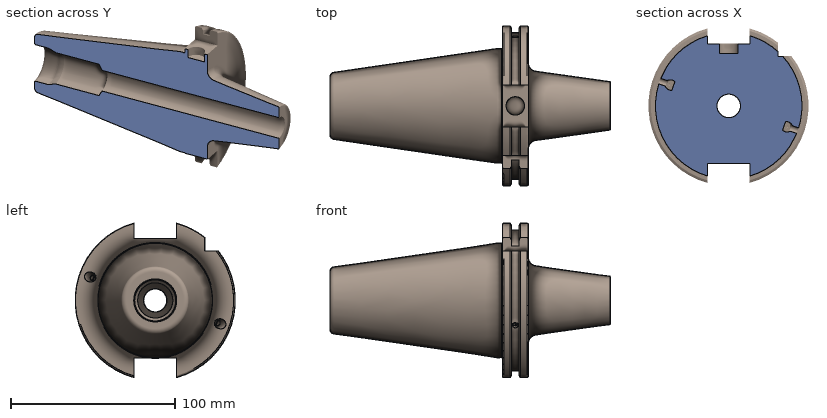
import cadquery as cq
import math


taper_length = 101.75
gauge_dia = 69.85
taper_ratio = 7 / 24
gauge_land = 1.6
tail_fillet = 3.0
relief_depth = 0.2
relief_fillet = 0.5

flange_start = 3.2
flange_thickness = 15.9
flange_dia = 97.5
rim_fillet = 1.0
groove_x = 11.1
groove_floor_dia = 89.5
groove_floor_width = 4.5
groove_lip_width = 0.85
groove_lip_angle = 30.0

slot_width = 25.7
upper_slot_floor = 37.7
lower_slot_floor = 35.1
notch_wall = 30.2

nose_length = 50.0
nose_tip_dia = 29.4
nose_half_angle = 8.0
nose_tip_chamfer = 0.5
nose_root_fillet = 5.0

bore_dia = 14.0
mouth_dia = 26.2
mouth_chamfer_length = 1.2
socket_dia = 25.0
socket_depth = 9.4
step_dia = 24.8
step_depth = 10.3
thread_core_dia = 21.4
thread_start_depth = 15.0
thread_end_depth = 45.0
drill_half_angle = 59.0

chip_hole_dia = 11.2
chip_hole_depth = 5.5

coolant_hole_dia = 6.0
coolant_hole_depth = 10.0
coolant_hole_radius = 42.1
coolant_hole_tilt = 30.0
coolant_hole_angles = (19.8, 199.8)
screw_hole_dia = 3.3
screw_hole_floor = 38.0

flange_radius = flange_dia / 2
flange_end = flange_start + flange_thickness
tail_x = -taper_length
tip_x = flange_end + nose_length


def taper_radius(x):
    return (gauge_dia + x * taper_ratio) / 2


def revolve_about_x(profile):
    return profile.close().revolve(360, (0, 0, 0), (1, 0, 0))


def corner_arc(before, corner, after, radius):
    """Start, middle and end of an arc that rounds the corner of an outline."""
    corner_point = cq.Vector(*corner)
    to_before = (cq.Vector(*before) - corner_point).normalized()
    to_after = (cq.Vector(*after) - corner_point).normalized()
    half_angle = to_before.getAngle(to_after) / 2
    bisector = (to_before + to_after).normalized()
    tangent_length = radius / math.tan(half_angle)
    middle_distance = radius / math.sin(half_angle) - radius
    return (
        corner_point + to_before * tangent_length,
        corner_point + bisector * middle_distance,
        corner_point + to_after * tangent_length,
    )


def add_arc(profile, arc):
    start, middle, end = arc
    return profile.lineTo(start.x, start.y).threePointArc((middle.x, middle.y), (end.x, end.y))


def make_body():
    """Taper, flange and nose as one solid of revolution."""
    tail_corner = (tail_x, taper_radius(tail_x))
    gauge_point = (0, gauge_dia / 2)
    land_end = (gauge_land, gauge_dia / 2)
    relief_corner = (flange_start, gauge_dia / 2 - relief_depth)
    rim_front = (flange_start, flange_radius)
    rim_back = (flange_end, flange_radius)

    nose_slope = math.tan(math.radians(nose_half_angle))
    nose_root = (flange_end, nose_tip_dia / 2 + nose_length * nose_slope)
    nose_tip = (tip_x - nose_tip_chamfer, nose_tip_dia / 2 + nose_tip_chamfer * nose_slope)

    profile = cq.Workplane("XY").moveTo(tail_x, 0)
    profile = add_arc(profile, corner_arc((tail_x, 0), tail_corner, gauge_point, tail_fillet))
    profile = profile.lineTo(*gauge_point).lineTo(*land_end)
    profile = add_arc(profile, corner_arc(land_end, relief_corner, rim_front, relief_fillet))
    profile = add_arc(profile, corner_arc(relief_corner, rim_front, rim_back, rim_fillet))
    profile = add_arc(profile, corner_arc(rim_front, rim_back, nose_root, rim_fillet))
    profile = add_arc(profile, corner_arc(rim_back, nose_root, nose_tip, nose_root_fillet))
    profile = profile.lineTo(*nose_tip).lineTo(tip_x, nose_tip_dia / 2 - nose_tip_chamfer)
    profile = profile.lineTo(tip_x, 0)
    return revolve_about_x(profile)


def make_groove():
    """Ring that cuts the gripper groove, with flared lips at the rim."""
    floor_half = groove_floor_width / 2
    rim_half = floor_half + groove_lip_width
    floor_radius = groove_floor_dia / 2
    lip_radius = flange_radius - groove_lip_width / math.tan(math.radians(groove_lip_angle))
    profile = cq.Workplane("XY").polyline([
        (groove_x - rim_half, flange_radius),
        (groove_x - floor_half, lip_radius),
        (groove_x - floor_half, floor_radius),
        (groove_x + floor_half, floor_radius),
        (groove_x + floor_half, lip_radius),
        (groove_x + rim_half, flange_radius),
    ])
    return revolve_about_x(profile)


def make_bore():
    """Socket at the tail that tapers to a thread core, whose drill point meets the through bore."""
    core_radius = thread_core_dia / 2
    bore_radius = bore_dia / 2
    thread_end = tail_x + thread_end_depth
    drill_point_length = (core_radius - bore_radius) / math.tan(math.radians(drill_half_angle))
    profile = cq.Workplane("XY").polyline([
        (tail_x, 0),
        (tail_x, mouth_dia / 2),
        (tail_x + mouth_chamfer_length, socket_dia / 2),
        (tail_x + socket_depth, socket_dia / 2),
        (tail_x + step_depth, step_dia / 2),
        (tail_x + thread_start_depth, core_radius),
        (thread_end, core_radius),
        (thread_end + drill_point_length, bore_radius),
        (tip_x, bore_radius),
        (tip_x, 0),
    ])
    return revolve_about_x(profile)


def make_rim_cut(y_min, y_max, z_min, z_max):
    """Rectangular cut through the full thickness of the flange."""
    block = cq.Workplane("XY").box(flange_thickness, y_max - y_min, z_max - z_min, centered=False)
    return block.translate((flange_start, y_min, z_min))


def make_chip_hole():
    hole_bottom = cq.Workplane("XY", origin=(groove_x, 0, upper_slot_floor - chip_hole_depth))
    return hole_bottom.circle(chip_hole_dia / 2).extrude(chip_hole_depth)


def make_coolant_hole(angle):
    """Tilted hole from the flange face, met by a radial screw hole from the groove floor."""
    outward = cq.Vector(0, math.cos(math.radians(angle)), math.sin(math.radians(angle)))
    tilt = math.radians(coolant_hole_tilt)
    direction = cq.Vector(math.cos(tilt), 0, 0) - outward * math.sin(tilt)
    mouth = cq.Vector(flange_start, 0, 0) + outward * coolant_hole_radius
    lead_in = coolant_hole_dia / 2
    tilted_hole = cq.Solid.makeCylinder(
        coolant_hole_dia / 2, coolant_hole_depth + lead_in, mouth - direction * lead_in, direction
    )
    screw_start = cq.Vector(groove_x, 0, 0) + outward * screw_hole_floor
    screw_hole = cq.Solid.makeCylinder(
        screw_hole_dia / 2, flange_radius - screw_hole_floor, screw_start, outward
    )
    return cq.Workplane(obj=tilted_hole).union(cq.Workplane(obj=screw_hole))


result = make_body().cut(make_groove()).cut(make_bore())
result = result.cut(make_rim_cut(-slot_width / 2, slot_width / 2, upper_slot_floor, flange_radius))
result = result.cut(make_rim_cut(-slot_width / 2, slot_width / 2, -flange_radius, -lower_slot_floor))
result = result.cut(make_rim_cut(-flange_radius, -notch_wall, notch_wall, flange_radius))
result = result.cut(make_chip_hole())
for hole_angle in coolant_hole_angles:
    result = result.cut(make_coolant_hole(hole_angle))